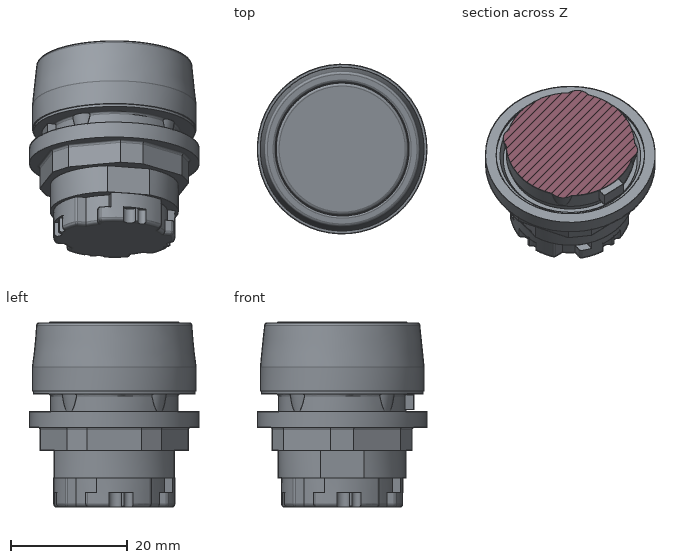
import cadquery as cq
import math


base_diameter = 20.75
base_height = 5.0
base_edge_fillet = 0.57
slot_floor_radius = 9.1
slot_near_wall = 4.87
slot_far_wall = 6.33
slot_lock_wall = 3.0
slot_lock_height = 2.5
slot_mouth_fillet = 0.47

scallop_height = slot_lock_height
scallop_floor = 9.3
scallop_tooth_face = 10.1
tooth_start = 1.25
tooth_end = 1.7
scallop_start = -0.9
scallop_end = 3.2

barrel_diameter = 21.85
barrel_top = 9.68
barrel_flat_distance = 10.28

hex_across_flats = 23.92
hex_across_truncations = 25.35
hex_flare = 0.38

flange_diameter = 29.0
flange_bottom = 13.65
flange_top = 16.33
recess_diameter = 25.35
recess_depth = 0.47
gap_mouth_diameter = 24.05
gap_floor_diameter = 22.9
gap_depth = 1.45

neck_diameter = barrel_diameter
neck_bottom = 16.1
core_diameter = 21.15
neck_flare = 0.35
tab_reach = 12.25
tab_width = 4.1
tab_bottom = 16.67
tab_top = 19.25
rib_radius = 2.37
rib_overhang = 0.63

cap_bottom = 19.35
cap_skirt_diameter = 27.65
cap_skirt_top = 19.85
cap_diameter = 28.0
cap_taper_start = 23.92
cap_top = 31.48
cap_top_radius = 13.23
cap_outer_fillet = 0.47
cap_bore_diameter = 22.9
cap_bore_fillet = 0.35

button_diameter = 22.55
button_top = 31.65
button_fillet = 0.5
button_gap_depth = 0.63

clearance = 0.32

TOLERANCE = 0.003
QUARTERS = [0, 90, 180, 270]


def disc(diameter, bottom, top):
    return cq.Workplane("XY").workplane(offset=bottom).circle(diameter / 2).extrude(top - bottom)


def turned(shape, angle):
    return shape.rotate((0, 0, 0), (0, 0, 1), angle)


def slot(inner_wall, bottom, top):
    """Corner pocket between two walls parallel to X and Y, down to the round slot floor."""
    reach = base_diameter
    pocket = (
        cq.Workplane("XY")
        .workplane(offset=bottom)
        .moveTo(-inner_wall, -slot_far_wall)
        .lineTo(-inner_wall, -reach)
        .lineTo(-reach, -reach)
        .lineTo(-reach, -slot_far_wall)
        .close()
        .extrude(top - bottom)
    )
    return pocket.cut(disc(2 * slot_floor_radius, bottom, top))


def scallops():
    """Two round bites on either side of a narrow flat tooth."""
    base_radius = base_diameter / 2
    start_y = -math.sqrt(base_radius**2 - scallop_start**2)
    end_y = -math.sqrt(base_radius**2 - scallop_end**2)
    outside = -base_radius - clearance
    first_middle = (scallop_start + tooth_start) / 2
    second_middle = (tooth_end + scallop_end) / 2
    return (
        cq.Workplane("XY")
        .moveTo(scallop_start, outside)
        .lineTo(scallop_start, start_y)
        .threePointArc((first_middle, -scallop_floor), (tooth_start, -scallop_tooth_face))
        .lineTo(tooth_end, -scallop_tooth_face)
        .threePointArc((second_middle, -scallop_floor), (scallop_end, end_y))
        .lineTo(scallop_end, outside)
        .close()
        .extrude(scallop_height)
    )


def is_slot_mouth(edge):
    """Outer upright edges of the entry slots; the lock walls above stay sharp."""
    middle = edge.Center()
    mid_slot_radius = (slot_floor_radius + base_diameter / 2) / 2
    on_outside = math.hypot(middle.x, middle.y) > mid_slot_radius
    return on_outside and middle.z < slot_lock_height + TOLERANCE


def bayonet_base():
    base = disc(base_diameter, 0, base_height)
    for angle in QUARTERS:
        entry = slot(slot_near_wall, 0, slot_lock_height)
        lock = slot(slot_lock_wall, slot_lock_height, base_height)
        base = base.cut(turned(entry.union(lock), angle))
    base = base.edges("|Z").filter(is_slot_mouth).fillet(slot_mouth_fillet)
    base = base.faces("<Z").edges().fillet(base_edge_fillet)
    for angle in QUARTERS:
        base = base.cut(turned(scallops(), angle))
    return base


def barrel():
    flats = cq.Workplane("XY").box(barrel_diameter, 2 * barrel_flat_distance, 2 * barrel_top)
    return disc(barrel_diameter, base_height, barrel_top).intersect(flats)


def hexagon(across_flats, bottom, top):
    return (
        cq.Workplane("XY")
        .workplane(offset=bottom)
        .polygon(6, across_flats, circumscribed=True)
        .extrude(top - bottom)
    )


def hex_collar():
    across = hexagon(hex_across_flats, barrel_top, flange_bottom)
    corners = hexagon(hex_across_truncations, barrel_top, flange_bottom)
    return across.intersect(turned(corners, 30))


def is_collar_joint(edge):
    """Straight edges where the collar meets the underside of the flange."""
    return edge.geomType() == "LINE" and abs(edge.Center().z - flange_bottom) < TOLERANCE


def flange():
    plate = disc(flange_diameter, flange_bottom, flange_top)
    collar_and_plate = plate.union(hex_collar())
    collar_and_plate = collar_and_plate.edges().filter(is_collar_joint).fillet(hex_flare)
    recess = disc(recess_diameter, flange_top - recess_depth, flange_top)
    gap = (
        cq.Workplane("XY")
        .workplane(offset=flange_top - gap_depth)
        .circle(gap_floor_diameter / 2)
        .workplane(offset=gap_depth - recess_depth)
        .circle(gap_mouth_diameter / 2)
        .loft()
    )
    return collar_and_plate.cut(recess).cut(gap)


def rib():
    """Leaning round rib that starts flush with the neck and overhangs under the cap."""
    axis_radius = neck_diameter / 2 - rib_radius
    height = cap_bottom - flange_top
    lean = cq.Vector(rib_overhang, 0, height)
    start = cq.Vector(axis_radius, 0, flange_top) - lean
    post = cq.Solid.makeCylinder(rib_radius, 3 * lean.Length, start, lean)
    limit = disc(cap_diameter, flange_top, cap_bottom + clearance)
    return limit.intersect(cq.Workplane(post))


def neck():
    radius = neck_diameter / 2
    body = (
        cq.Workplane("XZ")
        .moveTo(0, flange_top - gap_depth)
        .lineTo(core_diameter / 2, flange_top - gap_depth)
        .lineTo(core_diameter / 2, neck_bottom)
        .lineTo(radius, neck_bottom)
        .lineTo(radius, cap_bottom - neck_flare)
        .radiusArc((radius + neck_flare, cap_bottom), neck_flare)
        .lineTo(0, cap_bottom)
        .close()
        .revolve(360, (0, 0, 0), (0, 1, 0))
    )
    for angle in QUARTERS:
        body = body.union(turned(rib(), angle + 45))
    tab = cq.Workplane("XY").box(tab_reach, tab_width, tab_top - tab_bottom, centered=(False, True, False))
    return body.union(tab.translate((0, 0, tab_bottom)))


def cap():
    radius = cap_diameter / 2
    skirt_radius = cap_skirt_diameter / 2
    shell = (
        cq.Workplane("XZ")
        .moveTo(0, cap_bottom)
        .lineTo(skirt_radius, cap_bottom)
        .lineTo(skirt_radius, cap_skirt_top)
        .lineTo(radius, cap_skirt_top)
        .lineTo(radius, cap_taper_start)
        .lineTo(cap_top_radius, cap_top)
        .lineTo(0, cap_top)
        .close()
        .revolve(360, (0, 0, 0), (0, 1, 0))
    )
    shell = shell.faces(">Z").edges().fillet(cap_outer_fillet)
    shell = shell.cut(disc(cap_bore_diameter, cap_top - button_gap_depth, cap_top))
    bore_rim = cq.selectors.RadiusNthSelector(0)
    shell = shell.faces(">Z").edges(bore_rim).fillet(cap_bore_fillet)
    button = disc(button_diameter, cap_top - button_gap_depth, button_top)
    return shell.union(button.faces(">Z").edges().fillet(button_fillet))


result = bayonet_base()
for section in (barrel(), flange(), neck(), cap()):
    result = result.union(section)